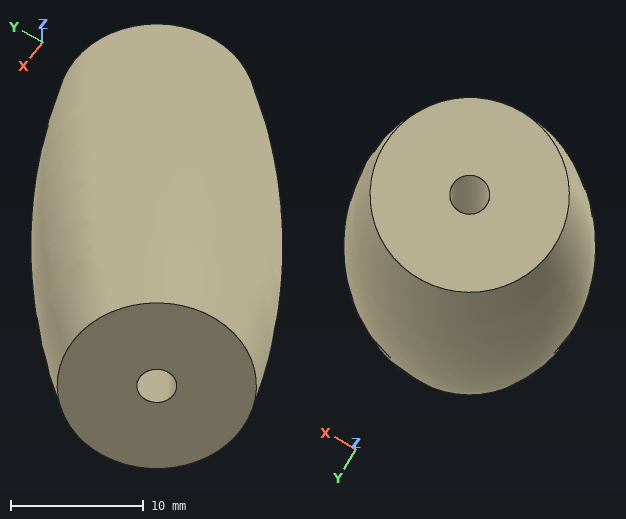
import cadquery as cq

length = 38.0
middle_diameter = 19.0
end_diameter = 15.0
bore_diameter = 3.0

middle_radius = middle_diameter / 2
end_radius = end_diameter / 2


def barrel():
    """Solid of revolution whose side is one arc, widest at mid-length."""
    half_profile = (
        cq.Workplane("XZ")
        .lineTo(end_radius, 0)
        .threePointArc((middle_radius, length / 2), (end_radius, length))
        .lineTo(0, length)
        .close()
    )
    return half_profile.revolve(360, (0, 0, 0), (0, 1, 0))


def bore():
    """Cylinder along the axis, through the full length."""
    return cq.Workplane("XY").circle(bore_diameter / 2).extrude(length)


result = barrel().cut(bore())